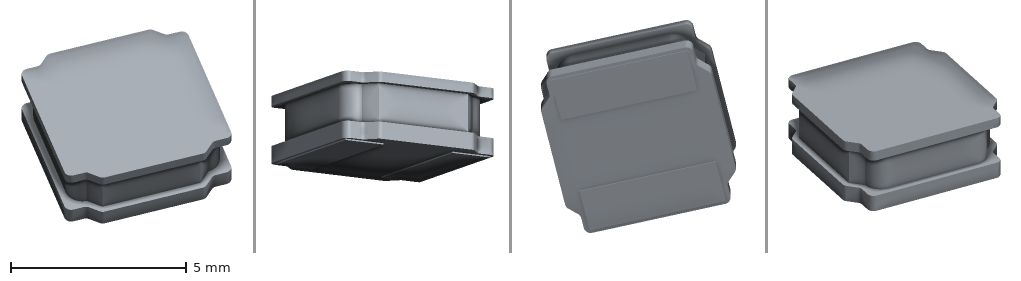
import cadquery as cq

side = 5.0
height = 2.0

pad_thickness = 0.04
base_thickness = 0.5
cover_thickness = 0.3
core_height = height - pad_thickness - base_thickness - cover_thickness

notch_depth = 0.35
notch_inner_offset = 0.6
tab_radius = 0.2
notch_radius = 0.18

core_setback = 0.2
core_chamfer = 0.35
core_arc_width = 0.5
core_arc_depth = 0.475
core_arc_radius = 0.5

pad_length = 4.0
pad_width = 1.26
pad_edge_gap = 0.1

half = side / 2


def flange(thickness, bottom):
    """Notched plate with rounded corners."""
    tab_x = half - notch_depth
    notch_inner_y = half - notch_inner_offset
    notch_outer_y = notch_inner_y - notch_depth
    corner = [(half, notch_outer_y), (tab_x, notch_inner_y), (tab_x, half)]
    outline = (
        corner
        + [(-x, y) for x, y in reversed(corner)]
        + [(-x, -y) for x, y in corner]
        + [(x, -y) for x, y in reversed(corner)]
    )
    plate = cq.Workplane("XY").workplane(offset=bottom).polyline(outline).close().extrude(thickness)

    plate = plate.faces("<Y or >Y").edges("|Z").fillet(tab_radius)

    mid_z = bottom + thickness / 2
    for x, y in corner[:2]:
        for sign_x in (-1, 1):
            for sign_y in (-1, 1):
                edge = cq.selectors.NearestToPointSelector((sign_x * x, sign_y * y, mid_z))
                plate = plate.edges("|Z").edges(edge).fillet(notch_radius)
    return plate


def core(bottom):
    """Set-back body between the two flanges."""
    x_side = half - core_setback
    y_side = half - core_setback
    x_arc = x_side - core_chamfer
    y_arc = y_side - core_arc_depth
    x_flat = x_arc - core_arc_width
    y_chamfer = y_arc - core_chamfer
    return (
        cq.Workplane("XY")
        .workplane(offset=bottom)
        .moveTo(x_side, -y_chamfer)
        .lineTo(x_side, y_chamfer)
        .lineTo(x_arc, y_arc)
        .radiusArc((x_flat, y_side), -core_arc_radius)
        .lineTo(-x_flat, y_side)
        .radiusArc((-x_arc, y_arc), -core_arc_radius)
        .lineTo(-x_side, y_chamfer)
        .lineTo(-x_side, -y_chamfer)
        .lineTo(-x_arc, -y_arc)
        .radiusArc((-x_flat, -y_side), -core_arc_radius)
        .lineTo(x_flat, -y_side)
        .radiusArc((x_arc, -y_arc), -core_arc_radius)
        .close()
        .extrude(core_height)
    )


def terminal_pads():
    """Two thin pads under the base, one along each Y side."""
    pad_y = half - pad_edge_gap - pad_width / 2
    return (
        cq.Workplane("XY")
        .pushPoints([(0, -pad_y), (0, pad_y)])
        .rect(pad_length, pad_width)
        .extrude(pad_thickness)
    )


core_bottom = pad_thickness + base_thickness
result = (
    flange(base_thickness, pad_thickness)
    .union(core(core_bottom))
    .union(flange(cover_thickness, core_bottom + core_height))
    .union(terminal_pads())
)